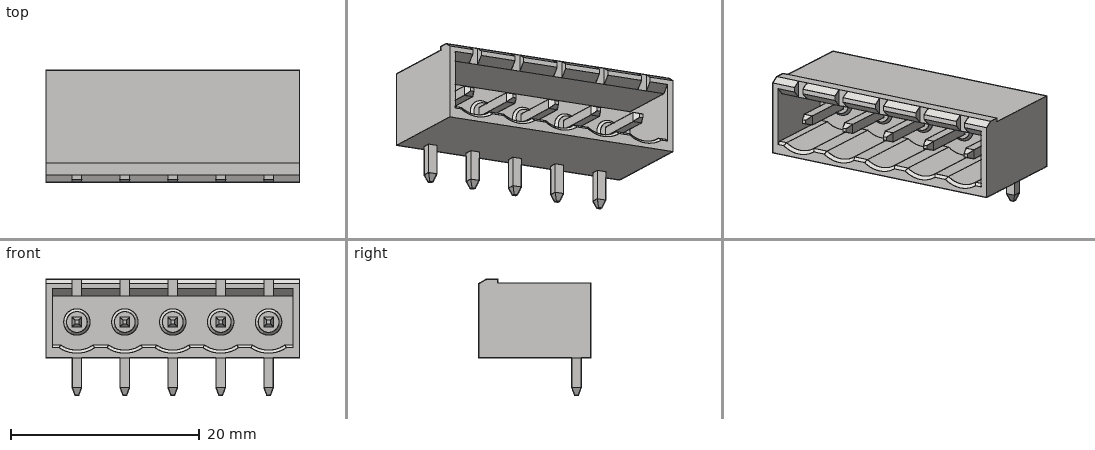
import cadquery as cq

LENGTH = 26.88
DEPTH = 11.9
BACK_HEIGHT = 7.93
LIP_HEIGHT = 8.33
LIP_DEPTH = 2.05
LIP_BEVEL_DEPTH = 0.8
LIP_BEVEL_DROP = 0.48

SIDE_WALL = 0.67
CAVITY_DEPTH = 8.33
FLOOR_Z = 1.35
ROOF_Z = 6.53
ROOF_BEVEL_DEPTH = LIP_BEVEL_DEPTH
ROOF_BEVEL_RISE = 0.8
ENTRY_BEVEL_DEPTH = 0.32
ENTRY_BEVEL_DROP = 0.27

PIN_COUNT = 5
PITCH = 5.08
PIN_WIDTH = 1.02
PIN_Z = 3.8
PIN_TIP_Y = 1.05
TIP_LENGTH = 0.83
TIP_WIDTH = 0.4
LEG_Y = 10.38
LEG_LENGTH = 3.98

GUTTER_RADIUS = 2.98
GUTTER_FLARE = 0.32
BOSS_BASE_RADIUS = 1.4
BOSS_TOP_RADIUS = 1.1
BOSS_HEIGHT = 0.27
NOTCH_WIDTH = PIN_WIDTH
NOTCH_DEPTH = ROOF_BEVEL_DEPTH

PIN_XS = [(i - (PIN_COUNT - 1) / 2) * PITCH for i in range(PIN_COUNT)]


def extrude_along_x(points, width):
    """Extrude a (y, z) outline symmetrically about x = 0."""
    return cq.Workplane("YZ").polyline(points).close().extrude(width / 2, both=True)


def make_housing():
    """Solid block with a raised, bevelled lip along its front top edge."""
    return extrude_along_x(
        [
            (0, 0),
            (DEPTH, 0),
            (DEPTH, BACK_HEIGHT),
            (LIP_DEPTH, BACK_HEIGHT),
            (LIP_DEPTH, LIP_HEIGHT),
            (LIP_BEVEL_DEPTH, LIP_HEIGHT),
            (0, LIP_HEIGHT - LIP_BEVEL_DROP),
        ],
        LENGTH,
    )


def make_cavity():
    """Plug opening, bevelled at the entry along its floor and roof."""
    return extrude_along_x(
        [
            (0, FLOOR_Z - ENTRY_BEVEL_DROP),
            (ENTRY_BEVEL_DEPTH, FLOOR_Z),
            (CAVITY_DEPTH, FLOOR_Z),
            (CAVITY_DEPTH, ROOF_Z),
            (ROOF_BEVEL_DEPTH, ROOF_Z),
            (0, ROOF_Z + ROOF_BEVEL_RISE),
        ],
        LENGTH - 2 * SIDE_WALL,
    )


def make_gutter(x):
    """Round trough around a contact axis, flared at the cavity entry."""
    profile = [
        (0, 0),
        (GUTTER_RADIUS + GUTTER_FLARE, 0),
        (GUTTER_RADIUS, ENTRY_BEVEL_DEPTH),
        (GUTTER_RADIUS, CAVITY_DEPTH),
        (0, CAVITY_DEPTH),
    ]
    round_body = (
        cq.Workplane("XY").polyline(profile).close()
        .revolve(360, (0, 0, 0), (0, 1, 0))
        .translate((x, 0, PIN_Z))
    )
    floor_slab = cq.Workplane("XY").box(
        PITCH, CAVITY_DEPTH, FLOOR_Z, centered=(True, False, False)
    ).translate((x, 0, 0))
    return round_body.intersect(floor_slab)


def make_notch(x):
    """Slot through the lip, open to the front and into the cavity."""
    return cq.Workplane("XY").box(
        NOTCH_WIDTH, NOTCH_DEPTH, LIP_HEIGHT - ROOF_Z, centered=(True, False, False)
    ).translate((x, 0, ROOF_Z))


def make_boss(x):
    """Low conical collar around a contact on the cavity's back wall."""
    return cq.Workplane(
        cq.Solid.makeCone(
            BOSS_BASE_RADIUS, BOSS_TOP_RADIUS, BOSS_HEIGHT,
            cq.Vector(x, CAVITY_DEPTH, PIN_Z), cq.Vector(0, -1, 0),
        )
    )


def make_bar(start, direction, length):
    """Square bar of the given total length ending in a blunt pyramid."""
    base = cq.Plane(origin=start, xDir=(1, 0, 0), normal=direction)
    shank_length = length - TIP_LENGTH
    shank = cq.Workplane(base).rect(PIN_WIDTH, PIN_WIDTH).extrude(shank_length)
    tip = (
        cq.Workplane(base).workplane(offset=shank_length).rect(PIN_WIDTH, PIN_WIDTH)
        .workplane(offset=TIP_LENGTH).rect(TIP_WIDTH, TIP_WIDTH).loft(ruled=True)
    )
    return shank.union(tip)


def make_contact(x):
    """Right-angle contact: a pin towards -Y and a solder leg towards -Z."""
    elbow_y = LEG_Y + PIN_WIDTH / 2
    elbow_z = PIN_Z + PIN_WIDTH / 2
    pin = make_bar((x, elbow_y, PIN_Z), (0, -1, 0), elbow_y - PIN_TIP_Y)
    leg = make_bar((x, LEG_Y, elbow_z), (0, 0, -1), elbow_z + LEG_LENGTH)
    return pin.union(leg)


result = make_housing().cut(make_cavity())
for pin_x in PIN_XS:
    result = result.cut(make_gutter(pin_x)).cut(make_notch(pin_x))
for pin_x in PIN_XS:
    result = result.union(make_boss(pin_x)).union(make_contact(pin_x))